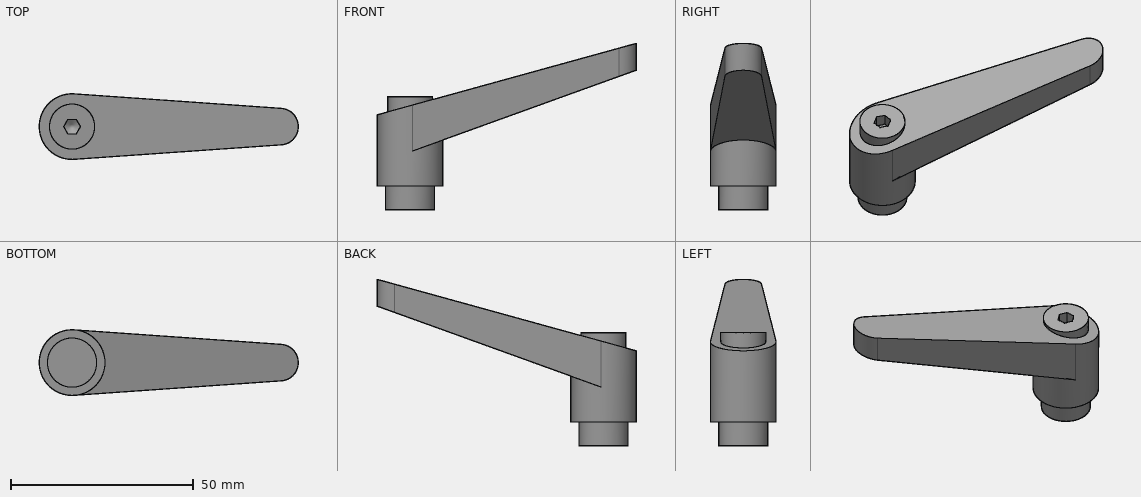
import cadquery as cq
import math

length = 71.0
hub_radius = 9.0
tip_radius = 5.05
base_radius = 6.75
base_height = 6.5
screw_radius = 6.2
screw_top = 31.0
socket_corners = 4.6
socket_depth = 3.55
drill_point_angle = 120

top_heel_height = 26.05
top_tip_height = 45.65
under_hub_height = 16.1
under_tip_height = 38.3

heel_x = -hub_radius
tip_x = heel_x + length
tip_center_x = tip_x - tip_radius

side_sin = (hub_radius - tip_radius) / tip_center_x
side_cos = math.sqrt(1 - side_sin**2)
hub_tangent = (hub_radius * side_sin, hub_radius * side_cos)
tip_tangent = (tip_center_x + tip_radius * side_sin, tip_radius * side_cos)


def cylinder(radius, bottom, top):
    """Upright cylinder on the hub axis."""
    return cq.Workplane("XY").workplane(offset=bottom).circle(radius).extrude(top - bottom)


def prism_across_y(points):
    """Side profile in XZ, extended across the full hub width."""
    return cq.Workplane("XZ").polyline(points).close().extrude(hub_radius, both=True)


hub = cylinder(hub_radius, base_height, top_tip_height).intersect(
    prism_across_y([
        (heel_x, 0),
        (tip_x, 0),
        (tip_x, top_tip_height),
        (heel_x, top_heel_height),
    ])
)

plan = (
    cq.Workplane("XY")
    .moveTo(hub_tangent[0], -hub_tangent[1])
    .lineTo(tip_tangent[0], -tip_tangent[1])
    .threePointArc((tip_x, 0), tip_tangent)
    .lineTo(*hub_tangent)
    .close()
    .extrude(top_tip_height)
)
top_slope = (top_tip_height - top_heel_height) / length
top_hub_height = top_heel_height + top_slope * (hub_tangent[0] - heel_x)
lever = plan.intersect(
    prism_across_y([
        (hub_tangent[0], under_hub_height),
        (tip_x, under_tip_height),
        (tip_x, top_tip_height),
        (hub_tangent[0], top_hub_height),
    ])
)

base = cylinder(base_radius, 0, base_height)
screw_head = cylinder(screw_radius, base_height, screw_top)

socket_radius = socket_corners / 2
point_depth = socket_depth + socket_radius / math.tan(math.radians(drill_point_angle / 2))
drill_shape = (
    cq.Workplane("XZ")
    .polyline([
        (0, screw_top),
        (socket_radius, screw_top),
        (socket_radius, screw_top - socket_depth),
        (0, screw_top - point_depth),
    ])
    .close()
    .revolve(360, (0, 0, 0), (0, 1, 0))
)
socket = (
    cq.Workplane("XY")
    .workplane(offset=screw_top - point_depth)
    .polygon(6, socket_corners)
    .extrude(point_depth)
    .intersect(drill_shape)
)

result = hub.union(lever).union(base).union(screw_head).cut(socket)